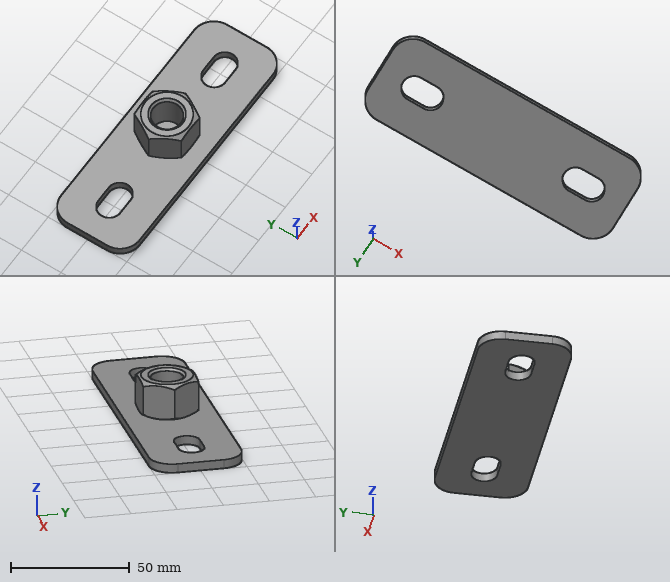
import cadquery as cq
import math

plate_length = 120.0
plate_width = 40.0
plate_thickness = 4.0
corner_radius = 10.0

slot_length = 19.0
slot_width = 11.0
slot_offset = 39.5

total_height = 20.0
nut_height = total_height - plate_thickness
across_flats = 24.0
across_corners = across_flats / math.cos(math.radians(30))
nut_face_diameter = 22.1
nut_chamfer_angle = 30.0

bore_diameter = 13.8
bore_mouth_diameter = 16.0


def make_plate():
    """Rounded plate with a slot near each end."""
    plate = cq.Workplane("XY").rect(plate_length, plate_width).extrude(plate_thickness)
    plate = plate.edges("|Z").fillet(corner_radius)
    slots = (
        cq.Workplane("XY")
        .pushPoints([(-slot_offset, 0), (slot_offset, 0)])
        .slot2D(slot_length, slot_width)
        .extrude(plate_thickness)
    )
    return plate.cut(slots)


def make_nut():
    """Hexagonal nut with conically chamfered corners and a countersunk bore, standing on z = 0."""
    face_radius = nut_face_diameter / 2
    corner_radius_of_hex = across_corners / 2
    cone_height = (corner_radius_of_hex - face_radius) * math.tan(math.radians(nut_chamfer_angle))
    hexagon = cq.Workplane("XY").polygon(6, across_corners).extrude(nut_height)
    chamfer_envelope = (
        cq.Workplane("XZ")
        .moveTo(0, 0)
        .lineTo(face_radius, 0)
        .lineTo(corner_radius_of_hex, cone_height)
        .lineTo(corner_radius_of_hex, nut_height - cone_height)
        .lineTo(face_radius, nut_height)
        .lineTo(0, nut_height)
        .close()
        .revolve(360, (0, 0), (0, 1))
    )
    countersink = (bore_mouth_diameter - bore_diameter) / 2
    bore = (
        cq.Workplane("XZ")
        .moveTo(0, 0)
        .lineTo(bore_diameter / 2, 0)
        .lineTo(bore_diameter / 2, nut_height - countersink)
        .lineTo(bore_mouth_diameter / 2, nut_height)
        .lineTo(0, nut_height)
        .close()
        .revolve(360, (0, 0), (0, 1))
    )
    return hexagon.intersect(chamfer_envelope).cut(bore)


result = make_plate().union(make_nut().translate((0, 0, plate_thickness)))